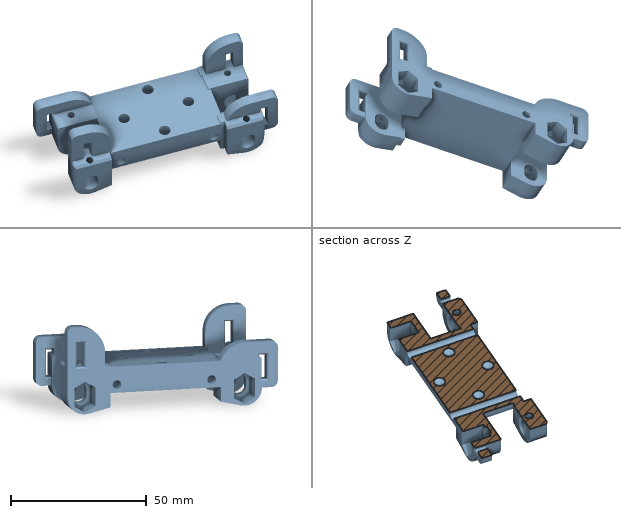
import cadquery as cq
import math

left_x = -15.1
right_x = 15.1
plus, minus = 1, -1

block_right_x = 12.1
block_center_x = (left_x + block_right_x) / 2
block_center_y = 0.3
block_length = 44.1
block_bottom_z = 7.5
block_top_z = 17.4
relief_depth = 0.2
relief_bottom_z = 8.0
relief_top_z = 8.6

top_hole_diameter = 4.2
top_hole_depth = 6.9
drill_half_angle = math.radians(59)
top_hole_offset_x = 9.9
top_hole_offset_y = 12.5

cross_hole_diameter = 3.3
cross_hole_z = 10.5
cross_hole_ys = (-17.8, 18.2)

lug_radius = 6.6
lug_center_u = 30.4
lug_outer_u = lug_center_u + lug_radius
lug_top_z = 18.0
lug_top_fillet = 0.95
lug_slope = math.radians(13.5)
left_lug_width = 10.85
right_lug_width = 7.4
left_lug_inner_u = {plus: 21.3, minus: 21.45}
outer_lug_inner_u = 22.4
ledge_inner_u = 20.7
outer_chamfer = 0.95

bore_z = 6.5
bore_width = 5.3
bore_stretch = 2.4
hex_flats = 8.0
hex_depth = 8.2
hex_corner = hex_flats / math.sqrt(3)
hex_tip = hex_corner + bore_stretch / 2
hex_shoulder = (hex_corner + bore_stretch) / 2
bore_recess_width = 3.3
bore_recess_depth = 0.9

oil_hole_diameter = 2.7
left_oil_hole_x = {plus: -8.95, minus: -8.7}
right_oil_hole_x = 13.2
right_oil_hole_tilt = 20

left_ear_thickness = 4.2
right_ear_x = 8.1
right_ear_thickness = 3.9
upright_top_z = 33.0
flange_outer_u = 43.1
left_flange_top_z = 23.85
right_flange_top_z = 24.9
left_arc_radius = 10.25
right_arc_radius = 9.65
upright_arc_start_u = {plus: 32.9, minus: 31.1}
flange_arc_start_u = {plus: 32.4, minus: 30.7}
flange_bottom_z = 6.5
ear_corner_radius = 2.4

window_bevel = 0.5
flange_window_u = (35.6, 39.6)
filled_window_inner_u = 36.6
left_flange_window_z = (9.0, 19.4)
right_flange_window_z = (9.0, 20.5)
left_upright_window_u = (29.9, 33.9)
right_upright_window_u = (28.6, 32.6)
upright_window_z = (17.3, 27.5)


def at_x(x):
    """Work plane facing +X, with Y to its right and Z up."""
    return cq.Workplane("YZ", origin=(x, 0, 0))


def lug(side, x, width, inner_u):
    """Lug with a round outer bottom, an underside sloping up inward and a rounded top edge."""
    low_u = lug_center_u - lug_radius * math.sin(lug_slope)
    low_z = lug_radius * (1 - math.cos(lug_slope))
    inner_z = low_z + (low_u - inner_u) * math.tan(lug_slope)
    diagonal = lug_radius * math.sqrt(0.5)
    fillet_mid = lug_top_fillet * (1 - math.sqrt(0.5))
    return (
        at_x(x)
        .moveTo(side * lug_outer_u, lug_radius)
        .threePointArc(
            (side * (lug_center_u + diagonal), lug_radius - diagonal),
            (side * low_u, low_z),
        )
        .lineTo(side * inner_u, inner_z)
        .lineTo(side * inner_u, lug_top_z)
        .lineTo(side * (lug_outer_u - lug_top_fillet), lug_top_z)
        .threePointArc(
            (side * (lug_outer_u - fillet_mid), lug_top_z - fillet_mid),
            (side * lug_outer_u, lug_top_z - lug_top_fillet),
        )
        .close()
        .extrude(width)
    )


def right_lug(side):
    """Right lug, chamfered along the top and end edges of its +X face."""
    x = right_x - right_lug_width
    body = lug(side, x, right_lug_width, outer_lug_inner_u)
    edge_x = right_x - outer_chamfer
    top_cut = (
        cq.Workplane("XZ", origin=(0, -flange_outer_u, 0))
        .polyline([(edge_x, lug_top_z), (right_x, lug_top_z), (right_x, lug_top_z - outer_chamfer)])
        .close()
        .extrude(-2 * flange_outer_u)
    )
    end_cut = (
        cq.Workplane("XY")
        .polyline([
            (edge_x, side * lug_outer_u),
            (right_x, side * lug_outer_u),
            (right_x, side * (lug_outer_u - outer_chamfer)),
        ])
        .close()
        .extrude(lug_top_z)
    )
    return body.cut(top_cut).cut(end_cut)


def ear(side, x, thickness, outer_u, top_z, bottom_z, arc_start_u, arc_radius):
    """Upright plate with a small outer corner radius and a large inner arc, rooted in the lug."""
    foot_u = arc_start_u - arc_radius
    arc_z = top_z - arc_radius
    mid = arc_radius * math.sqrt(0.5)
    plate = (
        at_x(x)
        .moveTo(side * outer_u, bottom_z)
        .lineTo(side * outer_u, top_z)
        .lineTo(side * arc_start_u, top_z)
        .threePointArc((side * (arc_start_u - mid), arc_z + mid), (side * foot_u, arc_z))
        .lineTo(side * foot_u, cross_hole_z)
        .lineTo(side * lug_center_u, bottom_z)
        .close()
        .extrude(thickness)
    )
    outer_face = ">Y" if side == plus else "<Y"
    return plate.faces(outer_face).edges("|X").fillet(ear_corner_radius)


def window(side, x, thickness, inner_u, outer_u, bottom_z, top_z):
    """Cutter for a rectangular opening, bevelled on the face towards -X."""
    height = top_z - bottom_z
    width = outer_u - inner_u
    center = (side * (inner_u + outer_u) / 2, (bottom_z + top_z) / 2)
    opening = (
        at_x(x).center(*center)
        .rect(width - 2 * window_bevel, height - 2 * window_bevel)
        .extrude(thickness)
    )
    bevel = (
        at_x(x).center(*center).rect(width, height).extrude(window_bevel, taper=45)
    )
    return opening.union(bevel)


def block():
    """Central block, relieved under both ends between the lugs."""
    half = block_length / 2
    width = block_right_x - left_x
    height = block_top_z - block_bottom_z
    body = (
        at_x(left_x)
        .center(block_center_y, (block_bottom_z + block_top_z) / 2)
        .rect(block_length, height)
        .extrude(width)
    )
    for side in (plus, minus):
        end_y = block_center_y + side * half
        back_y = end_y - side * relief_depth
        relief = (
            at_x(left_x)
            .polyline([
                (end_y, relief_top_z),
                (back_y, relief_bottom_z),
                (back_y, block_bottom_z),
                (end_y, block_bottom_z),
            ])
            .close()
            .extrude(width)
        )
        body = body.cut(relief)
    return body


def top_hole(dx, dy):
    """Blind hole with a conical bottom."""
    radius = top_hole_diameter / 2
    tip = radius / math.tan(drill_half_angle)
    return (
        cq.Workplane("XZ")
        .polyline([
            (0, block_top_z),
            (radius, block_top_z),
            (radius, block_top_z - top_hole_depth),
            (0, block_top_z - top_hole_depth - tip),
        ])
        .close()
        .revolve(360, (0, 0), (0, 1))
        .translate((block_center_x + dx, block_center_y + dy, 0))
    )


def bore(side):
    """Elongated bore through both lugs with a stretched hexagon pocket in the left face."""
    y = side * lug_center_u
    slot = (
        at_x(left_x).center(y, bore_z)
        .slot2D(bore_width + bore_stretch, bore_width, 90)
        .extrude(right_x - left_x)
    )
    half = hex_flats / 2
    pocket = (
        at_x(left_x).center(y, bore_z)
        .polyline([
            (0, hex_tip),
            (half, hex_shoulder),
            (half, -hex_shoulder),
            (0, -hex_tip),
            (-half, -hex_shoulder),
            (-half, hex_shoulder),
        ])
        .close()
        .extrude(hex_depth)
    )
    return slot.union(pocket)


def oil_hole(side, x, tilt=0):
    """Hole from the lug top down into the bore, its lower end leaning towards -X by the tilt."""
    y = side * lug_center_u
    depth = lug_top_z - bore_z
    return (
        cq.Workplane("XY", origin=(x, y, bore_z))
        .circle(oil_hole_diameter / 2)
        .extrude(depth + oil_hole_diameter)
        .rotate((x, y, lug_top_z), (x, y + 0.9, lug_top_z), tilt)
    )


def pocket_recess():
    """Shallow recess in the floor of the -Y hexagon pocket, between the bore and its upper tip."""
    half = bore_recess_width / 2
    shoulder = hex_tip - half / math.sqrt(3)
    return (
        at_x(left_x + hex_depth).center(-lug_center_u, bore_z)
        .polyline([(-half, 0), (half, 0), (half, shoulder), (0, hex_tip), (-half, shoulder)])
        .close()
        .extrude(bore_recess_depth)
    )


left_plate = (left_x, left_ear_thickness)
right_plate = (right_ear_x, right_ear_thickness)

left_plus_ear = ear(
    plus, *left_plate, lug_outer_u, upright_top_z, lug_radius,
    upright_arc_start_u[plus], left_arc_radius,
)
right_minus_ear = ear(
    minus, *right_plate, lug_outer_u, upright_top_z, lug_radius,
    upright_arc_start_u[minus], right_arc_radius,
)
left_minus_ear = ear(
    minus, *left_plate, flange_outer_u, left_flange_top_z, flange_bottom_z,
    flange_arc_start_u[minus], left_arc_radius,
)
right_plus_ear = ear(
    plus, *right_plate, flange_outer_u, right_flange_top_z, flange_bottom_z,
    flange_arc_start_u[plus], right_arc_radius,
)

left_plus_window = window(plus, *left_plate, *left_upright_window_u, *upright_window_z)
right_minus_window = window(minus, *right_plate, *right_upright_window_u, *upright_window_z)
left_minus_window = window(minus, *left_plate, *flange_window_u, *left_flange_window_z)
right_plus_window = window(plus, *right_plate, *flange_window_u, *right_flange_window_z)

result = (
    block()
    .union(right_minus_ear.cut(right_minus_window))
    .union(left_minus_ear.cut(left_minus_window))
    .union(right_plus_ear.cut(right_plus_window))
    .union(left_plus_ear)
)
for side in (plus, minus):
    result = result.union(lug(side, left_x, left_lug_width, left_lug_inner_u[side]))
    result = result.union(right_lug(side))

for plate_x, thickness in (left_plate, right_plate):
    result = result.union(lug(plus, plate_x, thickness, ledge_inner_u))

result = result.cut(left_plus_window)

trimmed_window = window(
    minus, *left_plate, filled_window_inner_u, flange_window_u[1], *left_flange_window_z
)
result = result.cut(trimmed_window)

for side in (plus, minus):
    result = result.cut(bore(side))
    result = result.cut(oil_hole(side, left_oil_hole_x[side]))
    result = result.cut(oil_hole(side, right_oil_hole_x, right_oil_hole_tilt))
result = result.cut(pocket_recess())

for dx in (-top_hole_offset_x, top_hole_offset_x):
    result = result.cut(top_hole(dx, 0))
for dy in (-top_hole_offset_y, top_hole_offset_y):
    result = result.cut(top_hole(0, dy))

cross_holes = (
    at_x(left_x)
    .pushPoints([(y, cross_hole_z) for y in cross_hole_ys])
    .circle(cross_hole_diameter / 2)
    .extrude(right_x - left_x)
)
result = result.cut(cross_holes)